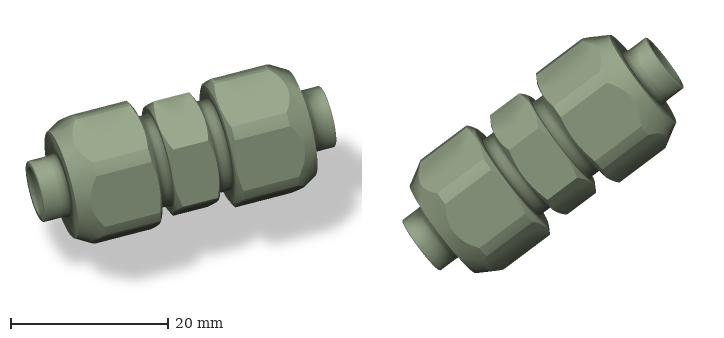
import cadquery as cq
import math

length = 39.0
tube_diameter = 8.05
bore_diameter = 6.5
tube_edge_chamfer = 0.1

body_flats = 14.0
body_half_width = 3.0
body_face_diameter = 13.9
neck_diameter = 12.0
neck_flare_length = 0.3
neck_flare_step = 0.1

nut_flats = 16.0
nut_corner_diameter = 17.5
nut_inner_face = 5.0
nut_outer_face = 16.0
nut_inner_face_diameter = 15.52
nut_outer_face_diameter = 14.0

flare_start = 16.93
flare_diameter = 8.3

outer_cone_angle = 30
corner_chamfer_angle = 60


def revolve_profile(points):
    """Turn (radius, y) points about the Y axis."""
    return cq.Workplane("XY").polyline(points).close().revolve(360, (0, 0, 0), (0, 1, 0))


def hexagon(flats, y_start, y_end):
    """Hexagonal bar along Y with two corners on the X axis."""
    corner_diameter = flats / math.cos(math.radians(30))
    start_plane = cq.Workplane("XZ", origin=(0, y_start, 0))
    return start_plane.polygon(6, corner_diameter).extrude(y_start - y_end)


def cone_length(radial_step, angle):
    return radial_step / math.tan(math.radians(angle))


def make_nut():
    corner_radius = nut_corner_diameter / 2
    inner_radius = nut_inner_face_diameter / 2
    outer_radius = nut_outer_face_diameter / 2
    inner_chamfer = cone_length(corner_radius - inner_radius, corner_chamfer_angle)
    outer_cone = cone_length(corner_radius - outer_radius, outer_cone_angle)
    envelope = revolve_profile([
        (0, nut_inner_face),
        (inner_radius, nut_inner_face),
        (corner_radius, nut_inner_face + inner_chamfer),
        (corner_radius, nut_outer_face - outer_cone),
        (outer_radius, nut_outer_face),
        (0, nut_outer_face),
    ])
    return hexagon(nut_flats, nut_inner_face, nut_outer_face).intersect(envelope)


def make_body():
    corner_radius = body_flats / 2 / math.cos(math.radians(30))
    face_radius = body_face_diameter / 2
    chamfer = cone_length(corner_radius - face_radius, corner_chamfer_angle)
    envelope = revolve_profile([
        (0, -body_half_width),
        (face_radius, -body_half_width),
        (corner_radius, -body_half_width + chamfer),
        (corner_radius, body_half_width - chamfer),
        (face_radius, body_half_width),
        (0, body_half_width),
    ])
    return hexagon(body_flats, -body_half_width, body_half_width).intersect(envelope)


def make_neck_and_tube():
    neck_radius = neck_diameter / 2
    tube_radius = tube_diameter / 2
    end = length / 2
    return revolve_profile([
        (0, body_half_width),
        (neck_radius + neck_flare_step, body_half_width),
        (neck_radius, body_half_width + neck_flare_length),
        (neck_radius, nut_inner_face),
        (flare_diameter / 2, nut_inner_face),
        (flare_diameter / 2, nut_outer_face),
        (tube_radius, flare_start),
        (tube_radius, end - tube_edge_chamfer),
        (tube_radius - tube_edge_chamfer, end),
        (0, end),
    ])


half = make_nut().union(make_neck_and_tube())
bore = cq.Workplane("XZ").circle(bore_diameter / 2).extrude(length / 2, both=True)
result = make_body().union(half).union(half.mirror("XZ")).cut(bore)